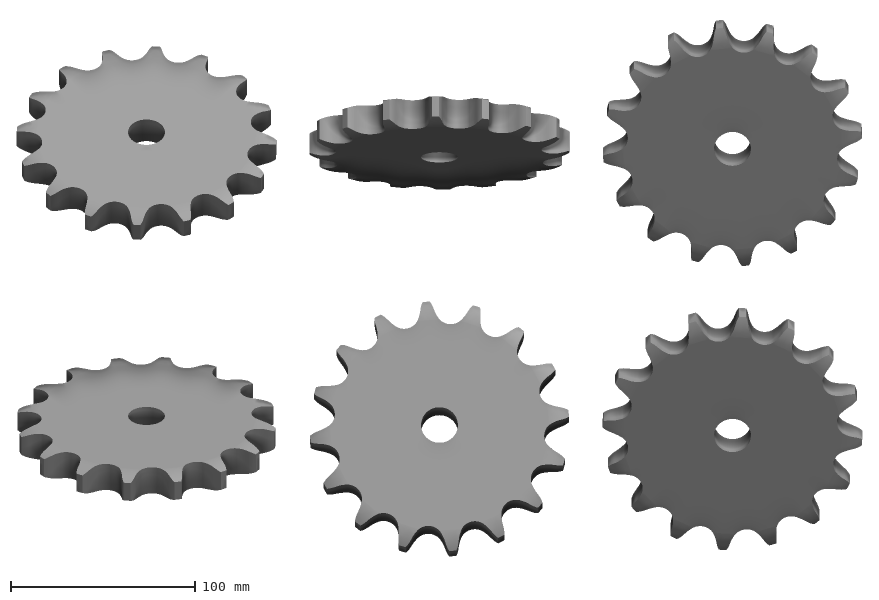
import cadquery as cq
import math

TOOTH_COUNT = 16
PITCH = 25.4
ROLLER_DIAMETER = 15.88
OUTSIDE_DIAMETER = 141.0
THICKNESS = 16.2
BORE_DIAMETER = 20.0

RELIEF_START_RADIUS = 59.3
RELIEF_ARC_RADIUS = 25.4

SEAT_DIAMETER_RATIO = 1.005
WORKING_RADIUS_RATIO = 1.3025
WORKING_OFFSET_RATIO = 0.8
TOPPING_OFFSET_RATIO = 1.4

SEAT_CLEARANCE = 0.0762
FLANK_CLEARANCE = SEAT_CLEARANCE / 2

OUTSIDE_RADIUS = OUTSIDE_DIAMETER / 2
PITCH_RADIUS = PITCH / 2 / math.sin(math.pi / TOOTH_COUNT)
TOOTH_ANGLE = 360 / TOOTH_COUNT
HALF_TOOTH_ANGLE = TOOTH_ANGLE / 2

SEAT_RADIUS = (SEAT_DIAMETER_RATIO * ROLLER_DIAMETER + SEAT_CLEARANCE) / 2
SEAT_END_ANGLE = 35 + 60 / TOOTH_COUNT
WORKING_ARC_ANGLE = 18 - 56 / TOOTH_COUNT
STRAIGHT_ANGLE = SEAT_END_ANGLE - WORKING_ARC_ANGLE
WORKING_CENTER_OFFSET = WORKING_OFFSET_RATIO * ROLLER_DIAMETER
WORKING_RADIUS = WORKING_RADIUS_RATIO * ROLLER_DIAMETER + FLANK_CLEARANCE
TOPPING_CENTER_OFFSET = TOPPING_OFFSET_RATIO * ROLLER_DIAMETER
TOPPING_ARC_ANGLE = 17 - 64 / TOOTH_COUNT
TOPPING_RADIUS = (
    WORKING_CENTER_OFFSET * math.cos(math.radians(WORKING_ARC_ANGLE))
    + TOPPING_CENTER_OFFSET * math.cos(math.radians(TOPPING_ARC_ANGLE))
    - WORKING_RADIUS
)


def offset(point, distance, angle):
    """Return the point at a distance from another, in the direction given in degrees."""
    direction = math.radians(angle)
    return (point[0] + distance * math.cos(direction), point[1] + distance * math.sin(direction))


def mirrored(point):
    """Return the point on the opposite flank of a gap centred on the Y axis."""
    return (-point[0], point[1])


def tip_corner(arc_center):
    """Return the point where the topping arc meets the outside circle, on the gap side."""
    center_distance = math.hypot(*arc_center)
    squares = OUTSIDE_RADIUS**2 + center_distance**2 - TOPPING_RADIUS**2
    cosine = squares / (2 * OUTSIDE_RADIUS * center_distance)
    center_angle = math.degrees(math.atan2(arc_center[1], arc_center[0]))
    return offset((0, 0), OUTSIDE_RADIUS, center_angle + math.degrees(math.acos(cosine)))


def make_gap_cutter():
    """Space between two teeth, centred on the +Y axis and open beyond the outside circle."""
    seat_center = (0, PITCH_RADIUS)
    seat_bottom = offset(seat_center, SEAT_RADIUS, -90)
    seat_end = offset(seat_center, SEAT_RADIUS, -SEAT_END_ANGLE)

    working_center = offset(seat_center, WORKING_CENTER_OFFSET, 180 - SEAT_END_ANGLE)
    working_middle = offset(working_center, WORKING_RADIUS, -(SEAT_END_ANGLE + STRAIGHT_ANGLE) / 2)
    working_end = offset(working_center, WORKING_RADIUS, -STRAIGHT_ANGLE)

    topping_center = offset(seat_center, TOPPING_CENTER_OFFSET, -HALF_TOOTH_ANGLE)
    topping_start_angle = 180 - STRAIGHT_ANGLE
    topping_start = offset(topping_center, TOPPING_RADIUS, topping_start_angle)
    tip = tip_corner(topping_center)
    tip_angle = math.degrees(math.atan2(tip[1] - topping_center[1], tip[0] - topping_center[0]))
    topping_middle = offset(topping_center, TOPPING_RADIUS, (topping_start_angle + tip_angle) / 2)

    outer_corner = (tip[0], OUTSIDE_RADIUS + ROLLER_DIAMETER)
    return (
        cq.Workplane("XY")
        .workplane(offset=-THICKNESS / 2)
        .moveTo(*mirrored(tip))
        .threePointArc(mirrored(topping_middle), mirrored(topping_start))
        .lineTo(*mirrored(working_end))
        .threePointArc(mirrored(working_middle), mirrored(seat_end))
        .threePointArc(seat_bottom, seat_end)
        .threePointArc(working_middle, working_end)
        .lineTo(*topping_start)
        .threePointArc(topping_middle, tip)
        .lineTo(*outer_corner)
        .lineTo(*mirrored(outer_corner))
        .close()
        .extrude(THICKNESS)
    )


def make_blank():
    """Bored disc with rounded relief towards the rim on both faces."""
    half_thickness = THICKNESS / 2
    rim_angle = math.degrees(math.acos((OUTSIDE_RADIUS - RELIEF_START_RADIUS) / RELIEF_ARC_RADIUS))
    arc_center = (RELIEF_START_RADIUS, half_thickness - RELIEF_ARC_RADIUS)
    arc_middle = offset(arc_center, RELIEF_ARC_RADIUS, (90 + rim_angle) / 2)
    rim = offset(arc_center, RELIEF_ARC_RADIUS, rim_angle)
    bore_radius = BORE_DIAMETER / 2
    return (
        cq.Workplane("XZ")
        .moveTo(bore_radius, -half_thickness)
        .lineTo(RELIEF_START_RADIUS, -half_thickness)
        .threePointArc((arc_middle[0], -arc_middle[1]), (rim[0], -rim[1]))
        .lineTo(*rim)
        .threePointArc(arc_middle, (RELIEF_START_RADIUS, half_thickness))
        .lineTo(bore_radius, half_thickness)
        .close()
        .revolve(360, (0, 0, 0), (0, 1, 0))
    )


def cut_gaps(blank):
    """Cut the tooth gaps, evenly spaced around the axis."""
    cutter = make_gap_cutter()
    for index in range(TOOTH_COUNT):
        blank = blank.cut(cutter.rotate((0, 0, 0), (0, 0, 1), index * TOOTH_ANGLE))
    return blank


result = cut_gaps(make_blank())